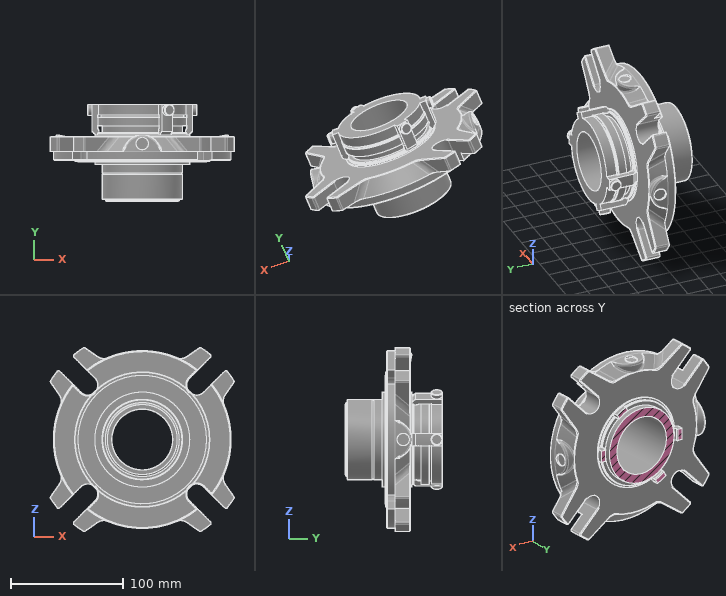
import cadquery as cq
import math


SLEEVE_STEP = 1.7
GROOVE_START = 24.0
GROOVE_END = 25.6
NECK_FACE = 32.9
RECESS_FACE = 35.3
PILOT_FACE = 35.9
PLATE_FRONT = 36.7
LUG_FRONT = 44.5
PLATE_BACK = 58.2
HUB_BACK = 59.5
RIM_BACK = 61.4
SPRING_RING_START = 67.4
SPRING_RING_END = 75.3
COLLAR_START = 77.0
TOTAL_LENGTH = 86.56

BORE_R = 53.98 / 2
SLEEVE_R = 71.75 / 2
SLEEVE_NOSE_R = 65.91 / 2
GROOVE_R = 69.98 / 2
NECK_R = 42.3
PILOT_R = 60.2
PILOT_FACE_R = 57.2
RING_R = 79.2
CONE_BACK_R = 67.5
HUB_R = 42.3
RIM_R = 80.39 / 2
SPRING_RING_R = 79.7 / 2
SPRING_NECK_R = 37.0
COLLAR_R = 78.87 / 2
LUG_TIP_R = 97.1

NOSE_CHAMFER_WIDTH = 1.8
NOSE_CHAMFER_LENGTH = 0.9
SLEEVE_CHAMFER = 0.6
PILOT_RIM = 0.4
RIM_CHAMFER = 0.9
SPRING_RING_CHAMFER = 0.5
RING_CHAMFER = 0.9
LUG_CORNER_R = 1.5
LUG_BACK_CHAMFER = 0.8

SLOT_ANGLES = (45, 135, 225, 315)
SLOT_WIDTH = 17.7
SLOT_BOTTOM_R = 59.7
SLOT_CHAMFER = 0.9
BOTH_FLANKS_CHAMFERED = SLOT_ANGLES[-1]
LUG_PAIR_WIDTH = 43.6
LUG_WIDTH_STATION = 93.6
LUG_TAPER = 10.0
LUG_ROOT = 50.0
LUG_ROOT_FILLET = 6.5

BOSS_ANGLES = (0, 90, 180)
BOSS_R = 17.6
BOSS_STATION = 42.6
BOSS_TOP_R = 76.6
BOSS_ROOT = 60.0
BOSS_TAPER = 11.0
BOSS_ROOT_FILLET = 1.5
PORT_D = 11.0
PORT_STATION = 51.7
PORT_FLOOR_R = 77.1

CLIP_ANGLES = (0, 60, 180, 240)
CLIP_WIDTH = 11.2
CLIP_INNER_R = 39.2
CLIP_RELIEF_R = 40.0
CLIP_TOE_R = 38.9
CLIP_OUTER_R = 44.9
CLIP_CHAMFER = 3.0
CLIP_TOE_TOP = 63.5
CLIP_RELIEF_BOTTOM = 65.5
SCREW_HEAD_D = 10.0
SCREW_HEAD_TIP = 48.7
SCREW_CHAMFER = 0.5


def shaft_plane(station):
    """Plane across the shaft axis, with local X along +X, local Y along -Z and normal +Y."""
    return cq.Workplane(cq.Plane((0, station, 0), (1, 0, 0), (0, 1, 0)))


def radial_plane(distance, station):
    """Plane facing +X at a distance from the shaft axis, centred on a station."""
    return cq.Workplane(cq.Plane((distance, station, 0), (0, 1, 0), (1, 0, 0)))


def turned(shape, angle):
    """Turn a feature built on +X about the shaft axis, from +X towards +Z."""
    return shape.rotate((0, 0, 0), (0, 1, 0), -angle)


def revolved(points):
    """Solid of revolution about Y from (radius, station) points."""
    return cq.Workplane("XY").polyline(points).close().revolve(360, (0, 0, 0), (0, 1, 0))


def make_turned_body():
    """Sleeve, pilot, front ring, hub, spring ring and collar as one turned shape with its bore."""
    return revolved([
        (BORE_R, 0),
        (SLEEVE_NOSE_R - NOSE_CHAMFER_WIDTH, 0),
        (SLEEVE_NOSE_R, NOSE_CHAMFER_LENGTH),
        (SLEEVE_NOSE_R, SLEEVE_STEP),
        (SLEEVE_R - SLEEVE_CHAMFER, SLEEVE_STEP),
        (SLEEVE_R, SLEEVE_STEP + SLEEVE_CHAMFER),
        (SLEEVE_R, GROOVE_START),
        (GROOVE_R, GROOVE_END),
        (SLEEVE_R, GROOVE_END),
        (SLEEVE_R, NECK_FACE),
        (NECK_R, NECK_FACE),
        (NECK_R, RECESS_FACE),
        (PILOT_FACE_R, RECESS_FACE),
        (PILOT_FACE_R, PILOT_FACE),
        (PILOT_R - PILOT_RIM, PILOT_FACE),
        (PILOT_R, PILOT_FACE + PILOT_RIM),
        (PILOT_R, PLATE_FRONT),
        (RING_R - RING_CHAMFER, PLATE_FRONT),
        (RING_R, PLATE_FRONT + RING_CHAMFER),
        (RING_R, LUG_FRONT),
        (CONE_BACK_R, LUG_FRONT),
        (CONE_BACK_R, PLATE_BACK),
        (HUB_R, PLATE_BACK),
        (HUB_R, HUB_BACK),
        (RIM_R, HUB_BACK),
        (RIM_R, RIM_BACK - RIM_CHAMFER),
        (RIM_R - RIM_CHAMFER / 2, RIM_BACK),
        (SLEEVE_R, RIM_BACK),
        (SLEEVE_R, SPRING_RING_START),
        (SPRING_RING_R, SPRING_RING_START),
        (SPRING_RING_R, SPRING_RING_END - SPRING_RING_CHAMFER),
        (SPRING_RING_R - SPRING_RING_CHAMFER / 2, SPRING_RING_END),
        (SPRING_NECK_R, SPRING_RING_END),
        (SPRING_NECK_R, COLLAR_START),
        (COLLAR_R, COLLAR_START),
        (COLLAR_R, TOTAL_LENGTH),
        (BORE_R, TOTAL_LENGTH),
    ])


def make_lug_pair():
    """Tapered block on +X, rounded off at the tip radius; the bolt slot later splits it in two."""
    spread = math.tan(math.radians(LUG_TAPER))
    half_root = LUG_PAIR_WIDTH / 2 + (LUG_WIDTH_STATION - LUG_ROOT) * spread
    half_tip = LUG_PAIR_WIDTH / 2 - (LUG_TIP_R - LUG_WIDTH_STATION) * spread
    thickness = PLATE_BACK - LUG_FRONT
    block = (
        shaft_plane(LUG_FRONT)
        .polyline([
            (LUG_ROOT, -half_root),
            (LUG_TIP_R, -half_tip),
            (LUG_TIP_R, half_tip),
            (LUG_ROOT, half_root),
        ])
        .close()
        .extrude(thickness)
    )
    return block.intersect(shaft_plane(LUG_FRONT).circle(LUG_TIP_R).extrude(thickness))


def make_slot(start, length, width=SLOT_WIDTH, taper=0):
    """Round-bottomed open slot along +X; a taper narrows it towards the back."""
    bottom_centre = SLOT_BOTTOM_R + SLOT_WIDTH / 2
    slot = shaft_plane(start).circle(width / 2).extrude(length, taper=taper)
    mouth = shaft_plane(start).rect(LUG_TIP_R, width).extrude(length, taper=taper)
    return slot.union(mouth.translate((LUG_TIP_R / 2, 0, 0))).translate((bottom_centre, 0, 0))


def make_flank_chamfer(side):
    """Cutter for the front edge of the slot flank on local +Z (side 1) or -Z (side -1)."""
    chamfered_width = SLOT_WIDTH + 2 * SLOT_CHAMFER
    flare = make_slot(PLATE_FRONT, SLOT_CHAMFER, chamfered_width, 45)
    half = cq.Workplane("XY").box(4 * LUG_TIP_R, 2 * TOTAL_LENGTH, chamfered_width)
    return flare.intersect(half.translate((0, 0, side * chamfered_width / 2)))


def make_lug_plate():
    """Conical back of the gland with the four pairs of lugs blended into it."""
    plate = revolved([
        (BORE_R, LUG_FRONT),
        (RING_R, LUG_FRONT),
        (CONE_BACK_R, PLATE_BACK),
        (BORE_R, PLATE_BACK),
    ])
    for angle in SLOT_ANGLES:
        plate = plate.union(turned(make_lug_pair(), angle))

    flank_zone = cq.selectors.BoxSelector(
        (-LUG_TIP_R, LUG_FRONT + 1, -LUG_TIP_R),
        (LUG_TIP_R, PLATE_BACK - 1, LUG_TIP_R),
    )
    cone_roots = plate.edges(flank_zone).edges("not |Y")
    plate = cone_roots.fillet(LUG_ROOT_FILLET)

    for angle in SLOT_ANGLES:
        plate = plate.cut(turned(make_slot(LUG_FRONT, PLATE_BACK - LUG_FRONT), angle))
    tip_corners = plate.edges("|Y").filter(
        lambda edge: math.hypot(edge.Center().x, edge.Center().z) > LUG_WIDTH_STATION
    )
    plate = tip_corners.fillet(LUG_CORNER_R)
    return plate.faces(">Y").edges().chamfer(LUG_BACK_CHAMFER)


def make_boss():
    """Round boss on +X, narrowing inwards, kept behind the lug front and faced to a cone."""
    boss = radial_plane(RING_R, BOSS_STATION).circle(BOSS_R).extrude(BOSS_ROOT - RING_R, taper=BOSS_TAPER)
    boss_top = BOSS_STATION + BOSS_R
    envelope = revolved([
        (0, LUG_FRONT),
        (RING_R, LUG_FRONT),
        (BOSS_TOP_R, boss_top),
        (0, boss_top),
    ])
    return boss.intersect(envelope)


def fillet_boss_root(gland):
    """Round the corner between the flank of the boss on +X and the cone."""
    root_zone = cq.selectors.BoxSelector(
        (CONE_BACK_R, LUG_FRONT + 1, -BOSS_R),
        (RING_R, PLATE_BACK, BOSS_R),
    )
    return gland.edges(root_zone).edges("not |Y").fillet(BOSS_ROOT_FILLET)


def make_port():
    """Cutter for the shallow round port in the face of the boss on +X."""
    return radial_plane(PORT_FLOOR_R, PORT_STATION).circle(PORT_D / 2).extrude(RING_R - PORT_FLOOR_R)


def make_clip():
    """Setting clip on +X: curved bar with a hooked, chamfered toe, and its screw head."""
    profile = revolved([
        (CLIP_TOE_R, HUB_BACK),
        (CLIP_OUTER_R - CLIP_CHAMFER, HUB_BACK),
        (CLIP_OUTER_R, HUB_BACK + CLIP_CHAMFER),
        (CLIP_OUTER_R, TOTAL_LENGTH),
        (CLIP_INNER_R, TOTAL_LENGTH),
        (CLIP_INNER_R, COLLAR_START),
        (CLIP_RELIEF_R, COLLAR_START),
        (CLIP_RELIEF_R, CLIP_RELIEF_BOTTOM),
        (CLIP_TOE_R, CLIP_TOE_TOP),
    ])
    width_box = cq.Workplane("XY").box(CLIP_OUTER_R, TOTAL_LENGTH, CLIP_WIDTH)
    bar = profile.intersect(width_box.translate((CLIP_OUTER_R, TOTAL_LENGTH / 2, 0)))
    head_seat = CLIP_RELIEF_R
    head = (
        radial_plane(head_seat, TOTAL_LENGTH - SCREW_HEAD_D / 2)
        .circle(SCREW_HEAD_D / 2)
        .extrude(SCREW_HEAD_TIP - head_seat)
        .faces(">X")
        .chamfer(SCREW_CHAMFER)
    )
    return bar.union(head)


body = make_turned_body()
for slot_angle in SLOT_ANGLES:
    body = body.cut(turned(make_slot(PLATE_FRONT, PLATE_BACK - PLATE_FRONT), slot_angle))
    body = body.cut(turned(make_flank_chamfer(1), slot_angle))
body = body.cut(turned(make_flank_chamfer(-1), BOTH_FLANKS_CHAMFERED))
body = body.union(make_lug_plate())
for boss_angle in BOSS_ANGLES:
    body = body.union(turned(make_boss(), boss_angle))
    body = turned(fillet_boss_root(turned(body, -boss_angle)), boss_angle)
    body = body.cut(turned(make_port(), boss_angle))
for clip_angle in CLIP_ANGLES:
    body = body.union(turned(make_clip(), clip_angle))

result = body